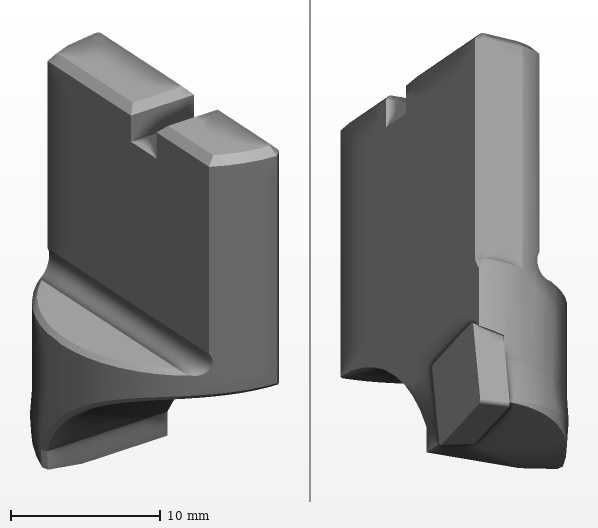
import cadquery as cq
import math

radius = 10.7
top_z = 28.25
shelf_z = 12.25
shelf_chamfer = 0.35
shank_thickness = 5.2
shank_chamfer = 0.57

relief_back_x = -10.65
relief_front_x = -10.1
relief_front_y = -3.65

corner_runout = 0.75
corner_tip = 0.03

facet_left_x = -1.85
facet_right_x = -0.03

slot_left_x = 0.28
slot_width = 2.97
slot_depth = 2.55

groove_radius = 1.02
groove_y = -6.02
groove_z = 12.91
shank_base_z = groove_z - groove_radius

nose_top_z = 5.17
nose_lean = 0.125
front_lean = 0.073
front_offset = 0.45

scoop_radius = 15.12
scoop_x = 10.4
scoop_top_z = 10.15
scoop_chamfer = 0.35
nose_right_x = -2.83
nose_bottom_z = 0.55

clearance_y = -10.4
clearance_z = 1.02
clearance_slope_x = 0.248
clearance_slope_y = 0.14

insert_side = 6.27
insert_tilt = 10.7
insert_corner_x = -11.8
insert_corner_z = 1.13
insert_corner_radius = 0.28
insert_thickness = 2.4
insert_proud = 0.42
insert_taper = 8.0
pocket_opening = 1.13

big = 3 * top_z


def front_block():
    """Large block filling the space in front of the back face."""
    return cq.Workplane("XY").box(big, big, big, centered=(True, False, True)).translate((0, -big, 0))


def leaning_cylinder(center_x, shift_x, shift_y):
    """Cylinder from the nose top down to Z = 0 whose lower end is shifted sideways."""
    return (
        cq.Workplane("XY").workplane(offset=nose_top_z)
        .center(center_x, 0).circle(radius)
        .workplane(offset=-nose_top_z).center(shift_x, shift_y).circle(radius)
        .loft(ruled=True)
    )


def make_round_body():
    return (
        cq.Workplane("XY").workplane(offset=nose_top_z)
        .circle(radius).extrude(shelf_z - nose_top_z)
        .faces(">Z").edges().chamfer(shelf_chamfer)
    )


def make_nose():
    side = leaning_cylinder(0, -nose_lean * nose_top_z, 0)
    front = leaning_cylinder(-front_offset, 0, front_lean * nose_top_z)
    return side.intersect(front)


def cut_facet(body):
    """Shave a narrow upright flat on the front of the round body."""
    left_y = -math.sqrt(radius**2 - facet_left_x**2)
    right_y = -math.sqrt(radius**2 - facet_right_x**2)
    slope = (right_y - left_y) / (facet_right_x - facet_left_x)
    facet = (
        cq.Workplane("XY")
        .polyline([
            (-big, left_y + slope * (-big - facet_left_x)),
            (big, left_y + slope * (big - facet_left_x)),
            (big, -2 * big), (-big, -2 * big),
        ]).close().extrude(big)
    )
    return body.cut(facet)


def cut_back_corners(body):
    """Bevel the right back corner; let the left bevel run out just below the shank."""
    right_x = radius - shank_chamfer
    right = (
        cq.Workplane("XY")
        .polyline([(right_x, 0), (right_x + big, 0), (right_x + big, -big)])
        .close().extrude(big)
    )
    left = (
        cq.Workplane("XY").workplane(offset=shank_base_z)
        .polyline([(-radius, 0), (shank_chamfer - radius, 0), (-radius, -shank_chamfer)]).close()
        .workplane(offset=-corner_runout)
        .polyline([(-radius, 0), (corner_tip - radius, 0), (-radius, -corner_tip)]).close()
        .loft(ruled=True)
    )
    above = left.faces(">Z").wires().toPending().extrude(top_z - shank_base_z)
    return body.cut(right).cut(left).cut(above)


def cut_scoop(body):
    """Cut the concave scoop and bevel its rim along the outer skin."""
    center_z = scoop_top_z - scoop_radius
    wall_top_z = center_z + math.sqrt(scoop_radius**2 - (scoop_x - nose_right_x) ** 2)
    mid_angle = math.radians(30)
    middle = (scoop_x - scoop_radius * math.sin(mid_angle), center_z + scoop_radius * math.cos(mid_angle))
    scoop = (
        cq.Workplane("XZ")
        .moveTo(nose_right_x, -top_z).lineTo(nose_right_x, wall_top_z)
        .threePointArc(middle, (scoop_x, scoop_top_z))
        .lineTo(top_z, scoop_top_z).lineTo(top_z, -top_z).close()
        .extrude(big, both=True)
    )
    rim_region = cq.selectors.BoxSelector((nose_right_x, -radius, 0), (radius, -0.28, scoop_top_z))
    body = body.cut(scoop)
    boxes = [(edge, edge.BoundingBox()) for edge in body.edges(rim_region).vals()]
    rim = [edge for edge, box in boxes if box.ylen > 0.03 and box.zlen > 0.03 or box.xmin > scoop_x - 0.28]
    return body.newObject(rim).chamfer(scoop_chamfer)


def cut_underside(body):
    """Trim the nose with a level floor and with the sloping clearance face."""
    floor = cq.Workplane("XY").box(big, big, big, centered=(True, True, False))
    body = body.intersect(floor.translate((0, 0, nose_bottom_z)))
    plane = cq.Plane(
        origin=(nose_right_x, clearance_y, clearance_z),
        xDir=(1, 0, -clearance_slope_x),
        normal=(clearance_slope_x, clearance_slope_y, 1),
    )
    return body.cut(cq.Workplane(plane).rect(big, big).extrude(-big))


def make_shank():
    """Flat plate above the round body, slotted and bevelled at its top."""
    shank = (
        cq.Workplane("XY").workplane(offset=shank_base_z).circle(radius).extrude(top_z - shank_base_z)
        .intersect(cq.Workplane("XY").box(big, 2 * shank_thickness, big))
        .intersect(front_block())
    )
    relief = (
        cq.Workplane("XY").workplane(offset=shank_base_z)
        .polyline([(-big, 0), (relief_back_x, 0), (relief_front_x, relief_front_y), (-big, relief_front_y)])
        .close().extrude(big)
    )
    slot = (
        cq.Workplane("XY").box(slot_width, big, big, centered=(False, True, False))
        .translate((slot_left_x, 0, top_z - slot_depth))
    )
    shank = shank.cut(relief).edges("|Z and >Y").chamfer(shank_chamfer)
    return shank.cut(slot).faces(">Z").edges().chamfer(shank_chamfer)


def make_groove_foot():
    """Strip at the foot of the shank that leaves the groove a full round inner wall."""
    depth = -groove_y - shank_thickness
    strip = cq.Workplane("XY").box(big, depth, big).translate((0, groove_y + depth / 2, 0))
    disc = cq.Workplane("XY").workplane(offset=shank_base_z).circle(radius).extrude(groove_radius)
    return disc.intersect(strip)


def cut_groove(body):
    groove = (
        cq.Workplane("YZ").center(groove_y, groove_z).transformed(rotate=(0, 0, 180))
        .circle(groove_radius).extrude(big, both=True)
    )
    return body.cut(groove)


def cut_insert_pocket(body, plate):
    """Seat the insert in a matching pocket that is open to the left."""
    return body.cut(plate).cut(plate.translate((-pocket_opening, 0, 0)))


def make_insert():
    return (
        cq.Workplane("XZ").rect(insert_side, insert_side, centered=False)
        .extrude(insert_thickness, taper=insert_taper)
        .edges("not(|X or |Z)").fillet(insert_corner_radius)
        .rotate((0, 0, 0), (0, 1, 0), insert_tilt)
        .translate((insert_corner_x, insert_proud, insert_corner_z))
    )


lower = make_round_body().union(make_nose()).intersect(front_block())
lower = cut_back_corners(cut_underside(cut_scoop(cut_facet(lower))))
insert = make_insert()
holder = cut_groove(lower.union(make_shank()).union(make_groove_foot()))
holder = cut_insert_pocket(holder, insert)
result = cq.Compound.makeCompound([holder.val(), insert.val()])